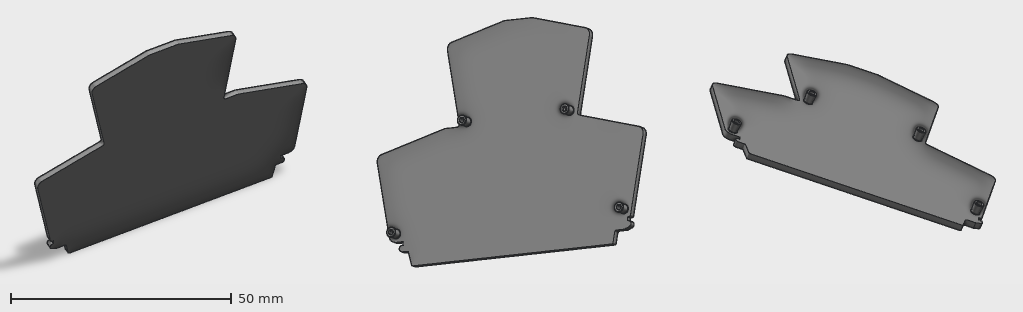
import cadquery as cq
import math

thickness = 1.5
length = 69.1
height = 54.5
roof_angle = math.radians(15)
flank_angle = math.radians(10)
roof_slope = math.tan(roof_angle)
flank_slope = math.tan(flank_angle)

side_bottom_z = 5.9
shoulder_z = 31.0
shoulder_y = 16.9
corner_radius = 1.65
corner_reach = (math.cos(roof_angle) + math.sin(flank_angle)) / math.cos(roof_angle - flank_angle) - 1
body_y = length / 2 + corner_radius * corner_reach
body_z = shoulder_z - roof_slope * (body_y - shoulder_y)
side_bottom_y = body_y - flank_slope * (body_z - side_bottom_z)

tower_axis_y = -2.15
roof_half_width = 3.65
neck_half_width = 15.25
neck_radius = 0.55

foot_left_y = 25.55
foot_right_y = -26.65
left_ledge_z = 3.5
right_ledge_z = 3.1
nose_z = 4.3
nose_radius = 0.75
left_nose_y = 28.05
right_nose_y = -30.6
right_ledge_end_y = -29.7
left_notch_y = 27.85
right_notch_y = -30.45
left_heel_radius = 1.8
right_heel_radius = 0.55
right_ledge_radius = 0.55
foot_radius = 0.35

peg_length = 2.5
peg_tip_radius = 1.2
peg_root_radius = 1.05
peg_rim_width = 0.35
peg_root_length = 0.55
peg_edge = 0.105
bore_radius = 0.6
bore_depth = 0.7
bore_floor_radius = 0.3
bore_cone_depth = 0.35
lower_peg_y = 29.55
lower_peg_z = 7.8
upper_peg_offset = 13.3
upper_peg_z = 32.0


def crossing(roof_y, roof_z, flank_y, flank_z):
    """Where a falling roof line meets a flank leaning outward."""
    rise = roof_z - flank_z - roof_slope * (flank_y - roof_y)
    z = flank_z + rise / (1 + roof_slope * flank_slope)
    return flank_y + flank_slope * (z - flank_z), z


def build_plate():
    eave_half, eave_z = crossing(roof_half_width, height, neck_half_width, shoulder_z)
    left_neck_y = tower_axis_y + neck_half_width
    right_neck_y = tower_axis_y - neck_half_width
    right_neck_z = shoulder_z - roof_slope * (-right_neck_y - shoulder_y)
    left_eave_y = tower_axis_y + eave_half
    right_eave_y = tower_axis_y - eave_half
    left_ledge_y = foot_left_y + roof_slope * left_ledge_z
    right_ledge_y = foot_right_y - flank_slope * right_ledge_z
    nose_top_z = nose_z + nose_radius

    to_y = right_ledge_end_y - right_nose_y
    to_z = right_ledge_z - nose_z
    tangent_angle = math.atan2(to_z, to_y) - math.acos(nose_radius / math.hypot(to_y, to_z))
    tangent_y = right_nose_y + nose_radius * math.cos(tangent_angle)
    tangent_z = nose_z + nose_radius * math.sin(tangent_angle)

    outline = (
        cq.Workplane("YZ")
        .moveTo(foot_right_y, 0)
        .lineTo(foot_left_y, 0)
        .lineTo(left_ledge_y, left_ledge_z)
        .lineTo(left_nose_y, left_ledge_z)
        .threePointArc((left_nose_y + nose_radius, nose_z), (left_nose_y, nose_top_z))
        .lineTo(left_notch_y, nose_top_z)
        .lineTo(left_notch_y, side_bottom_z)
        .lineTo(side_bottom_y, side_bottom_z)
        .lineTo(body_y, body_z)
        .lineTo(shoulder_y, shoulder_z)
        .lineTo(left_neck_y, shoulder_z)
        .lineTo(left_eave_y, eave_z)
        .lineTo(tower_axis_y + roof_half_width, height)
        .lineTo(tower_axis_y - roof_half_width, height)
        .lineTo(right_eave_y, eave_z)
        .lineTo(right_neck_y, right_neck_z)
        .lineTo(-body_y, body_z)
        .lineTo(-side_bottom_y, side_bottom_z)
        .lineTo(right_notch_y, side_bottom_z)
        .lineTo(right_notch_y, nose_top_z)
        .lineTo(right_nose_y, nose_top_z)
        .threePointArc((right_nose_y - nose_radius, nose_z), (tangent_y, tangent_z))
        .lineTo(right_ledge_end_y, right_ledge_z)
        .lineTo(right_ledge_y, right_ledge_z)
        .close()
    )
    rounded_corners = [
        (corner_radius, [(body_y, body_z), (-body_y, body_z), (left_eave_y, eave_z), (right_eave_y, eave_z)]),
        (neck_radius, [(left_neck_y, shoulder_z), (right_neck_y, right_neck_z)]),
        (left_heel_radius, [(side_bottom_y, side_bottom_z)]),
        (right_heel_radius, [(-side_bottom_y, side_bottom_z)]),
        (right_ledge_radius, [(right_ledge_y, right_ledge_z)]),
        (foot_radius, [(foot_left_y, 0), (foot_right_y, 0), (left_ledge_y, left_ledge_z)]),
    ]
    plate = outline.extrude(thickness)
    for radius, corners in rounded_corners:
        for y, z in corners:
            edge = cq.selectors.NearestToPointSelector((thickness / 2, y, z))
            plate = plate.edges("|X").edges(edge).fillet(radius)
    return plate


def build_peg(y, z):
    """Hollow-tipped peg standing on the -X face, narrowing toward its root."""
    return (
        cq.Workplane("XY")
        .moveTo(thickness / 2, 0)
        .lineTo(thickness / 2, peg_root_radius + peg_edge)
        .lineTo(0, peg_root_radius + peg_edge)
        .lineTo(-peg_edge, peg_root_radius)
        .lineTo(-peg_root_length, peg_root_radius)
        .lineTo(peg_rim_width - peg_length, peg_tip_radius)
        .lineTo(peg_edge - peg_length, peg_tip_radius)
        .lineTo(-peg_length, peg_tip_radius - peg_edge)
        .lineTo(-peg_length, bore_radius)
        .lineTo(bore_depth - peg_length, bore_radius)
        .lineTo(bore_depth + bore_cone_depth - peg_length, bore_floor_radius)
        .lineTo(bore_depth + bore_cone_depth - peg_length, 0)
        .close()
        .revolve(360, (0, 0, 0), (1, 0, 0))
        .translate((0, y, z))
    )


peg_places = [
    (lower_peg_y, lower_peg_z),
    (-lower_peg_y, lower_peg_z),
    (tower_axis_y + upper_peg_offset, upper_peg_z),
    (tower_axis_y - upper_peg_offset, upper_peg_z),
]

result = build_plate()
for peg_y, peg_z in peg_places:
    result = result.union(build_peg(peg_y, peg_z))